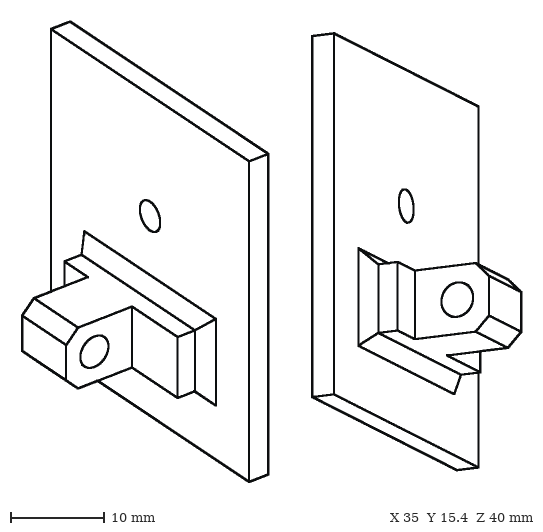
import cadquery as cq

plate_width = 35.0
plate_height = 40.0
plate_thickness = 2.6
plate_hole_diameter = 3.6
plate_hole_z = 4.9

pad_width = 20.0
pad_height = 7.6
pad_center_z = -7.85
pad_thickness = 2.3
skirt_size = 1.6

total_depth = 15.4
lug_width = 7.8
lug_center_x = -1.95
lug_chamfer = 1.6
pin_hole_diameter = 3.8
pin_to_tip = 3.8

pad_start = plate_thickness + skirt_size
pin_depth = total_depth - pin_to_tip


def block(width, height, start, end, center_x, center_z):
    """Box spanning the given depths in front of the plate's back face."""
    depth = end - start
    middle = (center_x, -(start + end) / 2, center_z)
    return cq.Workplane("XY").box(width, depth, height).translate(middle)


def make_plate():
    plate = block(plate_width, plate_height, 0, plate_thickness, 0, 0)
    return plate.faces("<Y").workplane(origin=(0, 0, plate_hole_z)).hole(plate_hole_diameter)


def make_pad():
    skirt = (
        cq.Workplane("XZ", origin=(0, -plate_thickness, pad_center_z))
        .rect(pad_width + 2 * skirt_size, pad_height + 2 * skirt_size)
        .workplane(offset=skirt_size)
        .rect(pad_width, pad_height)
        .loft(ruled=True)
    )
    pad = block(pad_width, pad_height, pad_start, pad_start + pad_thickness, 0, pad_center_z)
    return skirt.union(pad)


def make_lug():
    lug = block(lug_width, pad_height, pad_start, total_depth, lug_center_x, pad_center_z)
    lug = lug.faces("<Y").edges("|X").chamfer(lug_chamfer)
    pin_hole = (
        cq.Workplane("YZ", origin=(lug_center_x, -pin_depth, pad_center_z))
        .circle(pin_hole_diameter / 2)
        .extrude(lug_width, both=True)
    )
    return lug.cut(pin_hole)


result = make_plate().union(make_pad()).union(make_lug())